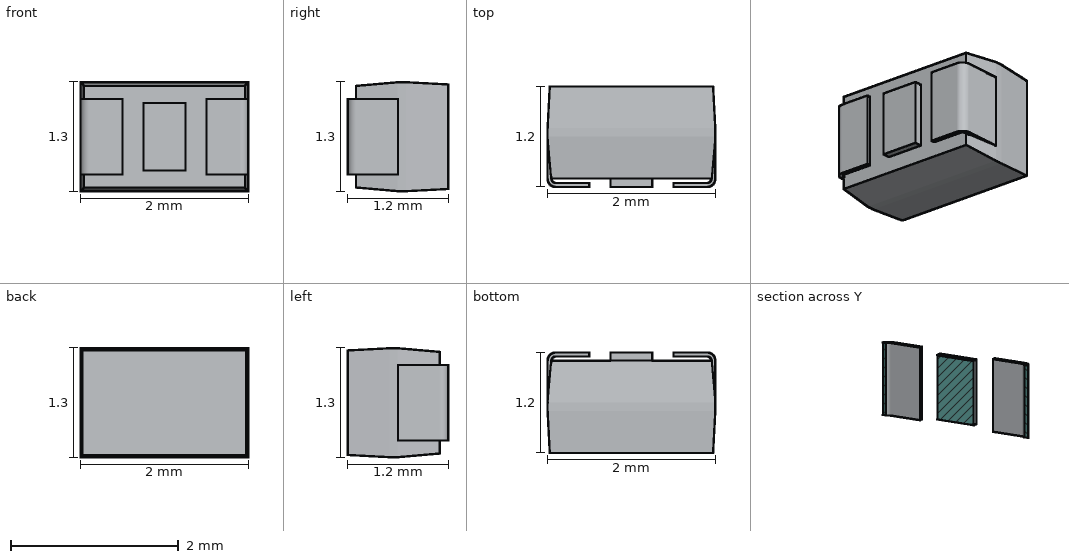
import cadquery as cq
import math

case_length = 2.0
case_height = 1.3
layer_depth = 0.5
band_depth = 0.1
front_draft = 5.0
back_draft = 3.0

standoff = 0.1
strip_thickness = 0.05
bend_radius = 0.1
foot_length = 0.5
terminal_height = 0.9

pad_length = 0.5
pad_height = 0.8

total_depth = 2 * layer_depth + band_depth + standoff
seat_y = -total_depth / 2
case_front_y = seat_y + standoff
band_front_y = case_front_y + layer_depth
band_back_y = band_front_y + band_depth


def xz_plane(y):
    """Plane at the given Y whose normal points toward +Y."""
    return cq.Plane(origin=(0, y, 0), xDir=(1, 0, 0), normal=(0, 1, 0))


def block(length, height, depth, front_y):
    """Box centred on the Y axis that reaches depth toward +Y from front_y."""
    return cq.Workplane(xz_plane(front_y)).rect(length, height).extrude(depth)


def tapered_layer(y, depth, draft):
    """Layer of full size at y that narrows at the draft angle over a signed depth."""
    inset = abs(depth) * math.tan(math.radians(draft))
    return (
        cq.Workplane(xz_plane(y))
        .rect(case_length, case_height)
        .workplane(offset=depth)
        .rect(case_length - 2 * inset, case_height - 2 * inset)
        .loft(ruled=True)
    )


def make_case(inset_bodies):
    """Case with its pad, recessed where the inset bodies are let into it."""
    band = block(case_length, case_height, band_depth, band_front_y)
    front_layer = tapered_layer(band_front_y, -layer_depth, front_draft)
    back_layer = tapered_layer(band_back_y, layer_depth, back_draft)
    pad = block(pad_length, pad_height, standoff, seat_y)
    case = band.union(front_layer).union(back_layer).union(pad)
    for body in inset_bodies:
        case = case.cut(body)
    return case


def make_terminal(side):
    """Terminal at the -X end (side = -1) or the +X end (side = 1)."""
    outer_x = case_length / 2
    inner_x = outer_x - strip_thickness
    bend_x = outer_x - bend_radius
    bend_y = seat_y + bend_radius
    foot_end_x = outer_x - foot_length
    foot_back_y = seat_y + strip_thickness
    inner_radius = bend_radius - strip_thickness
    mid = math.sqrt(0.5)

    def at(x, y):
        return (side * x, y)

    return (
        cq.Workplane("XY", origin=(0, 0, -terminal_height / 2))
        .moveTo(*at(outer_x, band_front_y))
        .lineTo(*at(outer_x, bend_y))
        .threePointArc(at(bend_x + mid * bend_radius, bend_y - mid * bend_radius), at(bend_x, seat_y))
        .lineTo(*at(foot_end_x, seat_y))
        .lineTo(*at(foot_end_x, foot_back_y))
        .lineTo(*at(bend_x, foot_back_y))
        .threePointArc(at(bend_x + mid * inner_radius, bend_y - mid * inner_radius), at(inner_x, bend_y))
        .lineTo(*at(inner_x, band_front_y))
        .close()
        .extrude(terminal_height)
    )


terminals = [make_terminal(side) for side in (-1, 1)]
case = make_case(terminals)
result = cq.Compound.makeCompound([case.solids().val(), *[terminal.val() for terminal in terminals]])